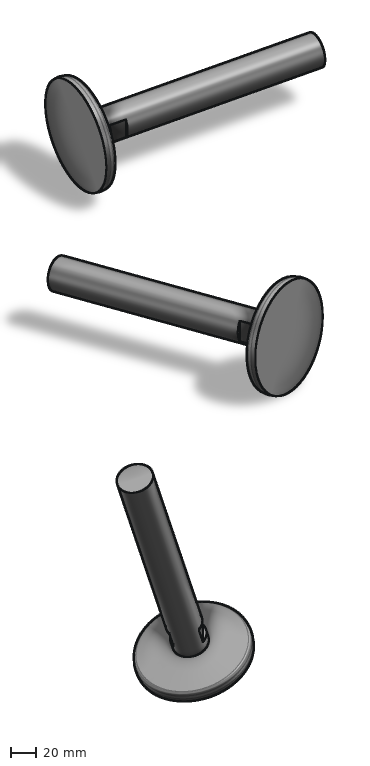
import cadquery as cq
import math

total_length = 222.0
stem_diameter = 30.0
foot_diameter = 98.0

rim_inset = 0.5
widest_height = 4.0
rim_top = 6.9
shoulder_radius = 2.9
cone_top = 15.3

flat_start = 24.2
flat_length = 15.0
across_flats = 24.0

stem_radius = stem_diameter / 2
foot_radius = foot_diameter / 2
rim_radius = foot_radius - rim_inset


def make_foot_and_stem():
    """Revolve the half profile (radius, height) about the Y axis."""
    arc_center = (rim_radius - shoulder_radius, rim_top)
    run = arc_center[0] - stem_radius
    rise = cone_top - arc_center[1]
    normal_angle = math.pi - math.atan2(rise, run) - math.acos(shoulder_radius / math.hypot(run, rise))

    def on_shoulder(angle):
        return (
            arc_center[0] + shoulder_radius * math.cos(angle),
            arc_center[1] + shoulder_radius * math.sin(angle),
        )

    return (
        cq.Workplane("XY")
        .lineTo(rim_radius, 0)
        .lineTo(foot_radius, widest_height)
        .lineTo(rim_radius, rim_top)
        .threePointArc(on_shoulder(normal_angle / 2), on_shoulder(normal_angle))
        .lineTo(stem_radius, cone_top)
        .lineTo(stem_radius, total_length)
        .lineTo(0, total_length)
        .close()
        .revolve(360, (0, 0, 0), (0, 1, 0))
    )


def make_flat_cutter(side):
    """Block that removes the stem beyond one wrench flat; side is -1 or +1 along X."""
    cutter_size = stem_diameter
    center_x = side * (across_flats + cutter_size) / 2
    center_y = flat_start + flat_length / 2
    return cq.Workplane("XY").box(cutter_size, flat_length, cutter_size).translate((center_x, center_y, 0))


result = make_foot_and_stem()
for side in (-1, 1):
    result = result.cut(make_flat_cutter(side))